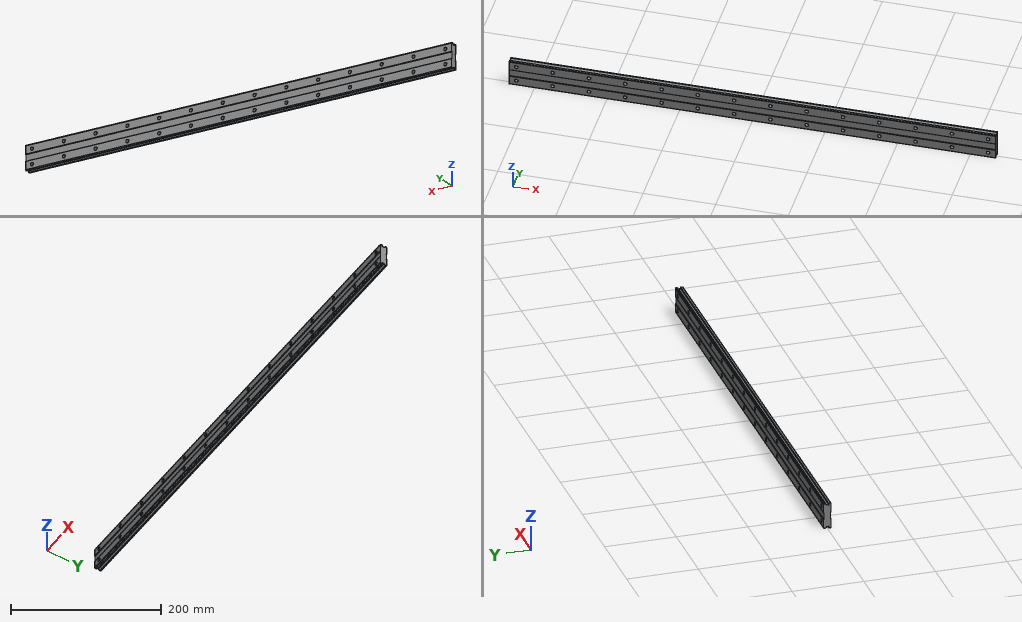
import math

import cadquery as cq

length = 670.0
thickness = 11.0
height = 37.0

raceway_front = -2.0
raceway_crest = 3.0
raceway_depth = 2.15

recess_mouth = 11.0
recess_depth = 1.0

front_chamfer = 1.0
rear_chamfer_height = 1.5
rear_chamfer_angle = 60
rear_chamfer_width = rear_chamfer_height / math.tan(math.radians(rear_chamfer_angle))

hole_diameter = 5.0
holes_per_row = 14
end_margin = 10.0
hole_pitch = (length - 2 * end_margin) / (holes_per_row - 1)
row_spacing = 22.0

front = -thickness / 2
rear = thickness / 2
top = height / 2


def rail_body():
    """Mirrored profile swept along X, with raceways in the edges and a recess in each face."""
    upper_half = [
        (front + recess_depth, 0),
        (front + recess_depth, recess_mouth / 2 - recess_depth),
        (front, recess_mouth / 2),
        (front, top - front_chamfer),
        (front + front_chamfer, top),
        (raceway_front, top),
        (raceway_front, top - raceway_depth),
        (raceway_crest - raceway_depth, top - raceway_depth),
        (raceway_crest, top),
        (rear - rear_chamfer_width, top),
        (rear, top - rear_chamfer_height),
        (rear, recess_mouth / 2),
        (rear - recess_depth, recess_mouth / 2 - recess_depth),
        (rear - recess_depth, 0),
    ]
    half = cq.Workplane("YZ").polyline(upper_half).close().extrude(length / 2, both=True)
    return half.union(half.mirror("XY"))


def mounting_holes():
    """Both rows of round holes, running through the thickness."""
    return (
        cq.Workplane("XZ")
        .rarray(hole_pitch, row_spacing, holes_per_row, 2)
        .circle(hole_diameter / 2)
        .extrude(thickness, both=True)
    )


result = rail_body().cut(mounting_holes()).clean()